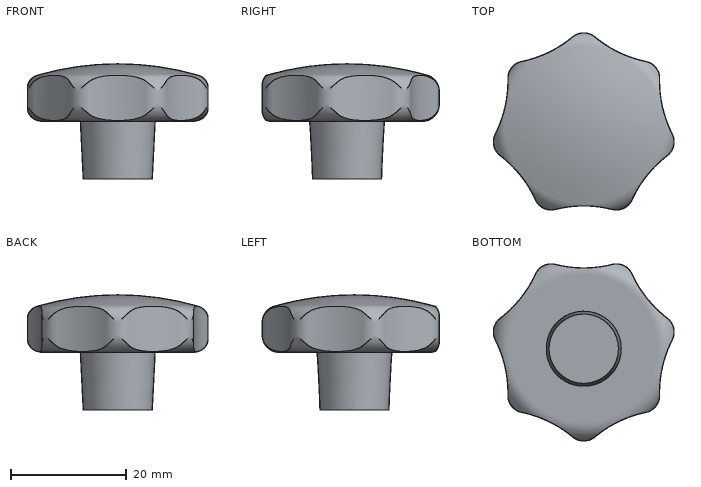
import cadquery as cq
import math

total_height = 20.0
stem_height = 10.0

stem_end_radius = 6.0
stem_root_radius = 6.5

lobe_count = 7
head_radius = 16.0
lobe_radius = 3.0
scallop_radius = 20.0
rim_radius = 3.0
dome_radius = 50.0

lobe_pitch = 2 * math.pi / lobe_count
first_lobe_angle = math.pi / 2


def polar(radius, angle):
    return (radius * math.cos(angle), radius * math.sin(angle))


def make_stem():
    """Solid cone frustum, widening towards the head."""
    profile = (
        cq.Workplane("XZ")
        .lineTo(stem_end_radius, 0)
        .lineTo(stem_root_radius, stem_height)
        .lineTo(0, stem_height)
        .close()
    )
    return profile.revolve(360, (0, 0, 0), (0, 1, 0))


def make_head_blank():
    """Round head with a spherical top and rounded rims."""
    rim_center_radius = head_radius - rim_radius
    lower_rim_z = stem_height + rim_radius

    dome_center_z = total_height - dome_radius
    center_distance = dome_radius - rim_radius
    upper_rim_z = dome_center_z + math.sqrt(center_distance**2 - rim_center_radius**2)
    dome_edge_angle = math.asin(rim_center_radius / center_distance)

    def dome_point(angle):
        return (dome_radius * math.sin(angle), dome_center_z + dome_radius * math.cos(angle))

    upper_rim_mid_angle = (math.pi / 2 + dome_edge_angle) / 2
    upper_rim_mid = (
        rim_center_radius + rim_radius * math.sin(upper_rim_mid_angle),
        upper_rim_z + rim_radius * math.cos(upper_rim_mid_angle),
    )
    lower_rim_mid = (
        rim_center_radius + rim_radius * math.sin(math.pi / 4),
        lower_rim_z - rim_radius * math.cos(math.pi / 4),
    )

    profile = (
        cq.Workplane("XZ")
        .moveTo(0, stem_height)
        .lineTo(rim_center_radius, stem_height)
        .threePointArc(lower_rim_mid, (head_radius, lower_rim_z))
        .lineTo(head_radius, upper_rim_z)
        .threePointArc(upper_rim_mid, dome_point(dome_edge_angle))
        .threePointArc(dome_point(dome_edge_angle / 2), (0, total_height))
        .close()
    )
    return profile.revolve(360, (0, 0, 0), (0, 1, 0))


def make_star_prism():
    """Prism whose round lobes blend tangentially into concave scallops."""
    lobe_center_radius = head_radius - lobe_radius
    half_pitch = lobe_pitch / 2

    along = lobe_center_radius * math.cos(half_pitch)
    across = lobe_center_radius * math.sin(half_pitch)
    touch_distance = scallop_radius + lobe_radius
    scallop_center_radius = along + math.sqrt(touch_distance**2 - across**2)
    scallop_floor_radius = scallop_center_radius - scallop_radius

    lobe_share = scallop_radius / touch_distance
    tangent_x = scallop_center_radius + lobe_share * (along - scallop_center_radius)
    tangent_y = lobe_share * across
    tangent_radius = math.hypot(tangent_x, tangent_y)
    tangent_angle = math.atan2(tangent_y, tangent_x)

    lobe_half_angle = half_pitch - tangent_angle
    outline = cq.Workplane("XY").workplane(offset=stem_height)
    outline = outline.moveTo(*polar(tangent_radius, first_lobe_angle - lobe_half_angle))
    for i in range(lobe_count):
        lobe_angle = first_lobe_angle + i * lobe_pitch
        scallop_angle = lobe_angle + half_pitch
        outline = outline.threePointArc(
            polar(head_radius, lobe_angle),
            polar(tangent_radius, lobe_angle + lobe_half_angle),
        )
        outline = outline.threePointArc(
            polar(scallop_floor_radius, scallop_angle),
            polar(tangent_radius, scallop_angle + tangent_angle),
        )
    return outline.close().extrude(total_height - stem_height)


head = make_head_blank().intersect(make_star_prism())
result = head.union(make_stem())